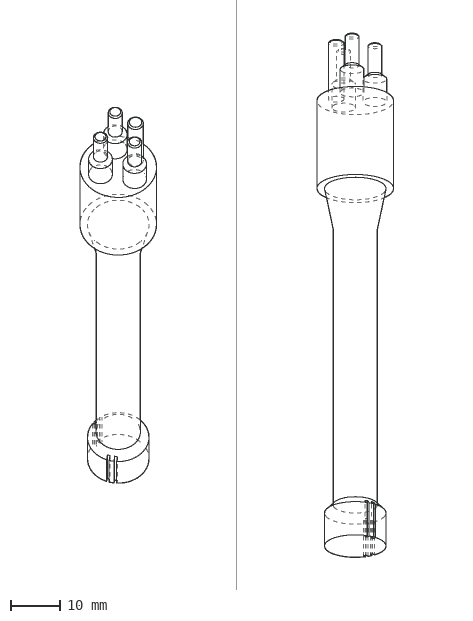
import cadquery as cq

total_height = 109.5
body_top = 97.0
body_bottom = 77.9
cone_bottom = 69.0
collar_shoulder = 9.0
collar_edge = 7.2

body_diameter = 15.5
tube_diameter = 9.0
collar_diameter = 12.5
cone_diameter = collar_diameter

pin_diameter = 2.8
sleeve_diameter = 4.8
sleeve_height = 5.0
sleeve_cone_height = 0.9
side_pin_x = 4.3
side_pin_y = 1.5
front_pin_y = -4.0
contact_places = [(side_pin_x, side_pin_y), (-side_pin_x, side_pin_y), (0, front_pin_y)]

tip_bevel = 0.3

guide_diameter = 3.2
guide_y = 3.9

key_width = 1.0
key_groove_width = 0.5
key_groove_depth = 0.8
key_angles = [200, 320]


def revolve_profile(points):
    """Turn a closed (radius, height) outline around the Z axis."""
    return cq.Workplane("XZ").polyline(points).close().revolve(360, (0, 0, 0), (0, 1, 0))


def make_turned_body():
    collar_radius = collar_diameter / 2
    tube_radius = tube_diameter / 2
    body_radius = body_diameter / 2
    return revolve_profile([
        (0, 0),
        (collar_radius, 0),
        (collar_radius, collar_edge),
        (tube_radius, collar_shoulder),
        (tube_radius, cone_bottom),
        (cone_diameter / 2, body_bottom),
        (body_radius, body_bottom),
        (body_radius, body_top),
        (0, body_top),
    ])


def make_contact():
    """One contact pin with its sleeve, centred on the Z axis."""
    sleeve_edge = body_top + sleeve_height
    sleeve_top = sleeve_edge + sleeve_cone_height
    return revolve_profile([
        (0, body_top),
        (sleeve_diameter / 2, body_top),
        (sleeve_diameter / 2, sleeve_edge),
        (pin_diameter / 2, sleeve_top),
        (pin_diameter / 2, total_height - tip_bevel),
        (pin_diameter / 2 - tip_bevel, total_height),
        (0, total_height),
    ])


def make_guide_pin():
    return (
        cq.Workplane("XY", origin=(0, guide_y, body_top))
        .circle(guide_diameter / 2)
        .extrude(total_height - body_top)
        .faces(">Z")
        .chamfer(tip_bevel)
    )


def make_key_grooves(angle):
    """Cutter for the two grooves beside one key, running out through the collar chamfer."""
    collar_radius = collar_diameter / 2
    groove_y = (key_width + key_groove_width) / 2
    return (
        cq.Workplane("XY")
        .pushPoints([(collar_radius, -groove_y), (collar_radius, groove_y)])
        .rect(2 * key_groove_depth, key_groove_width)
        .extrude(collar_shoulder)
        .rotate((0, 0, 0), (0, 0, 1), angle)
    )


result = make_turned_body()
for x, y in contact_places:
    result = result.union(make_contact().translate((x, y, 0)))
result = result.union(make_guide_pin())
for key_angle in key_angles:
    result = result.cut(make_key_grooves(key_angle))